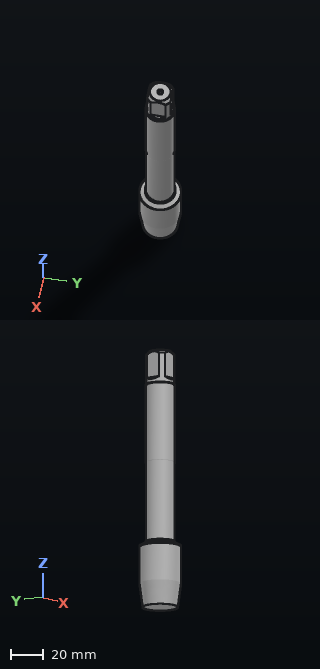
import cadquery as cq
import math

total_length = 160.0
head_diameter = 25.6
tip_diameter = 21.8
neck_diameter = 17.8
shank_diameter = 18.0
drive_diameter = 17.3

taper_length = 14.7
head_length = 37.8
collar_rim_height = 0.5
neck_base_top = 41.1
neck_top = 90.4
shank_step = 0.3
shank_top = 139.0
shank_edge_height = 0.5

flare_diameter = 18.9
flare_height = 1.1

square_width = 14.5
square_flat_bottom = 143.0
end_face_diameter = 12.8
centre_hole_diameter = 2.0
centre_hole_depth = 4.8
countersink_diameter = 3.4
countersink_angle = 60.0


def revolve_profile(points):
    """Revolve a closed (radius, height) outline around the Z axis."""
    return cq.Workplane("XZ").polyline(points).close().revolve(360, (0, 0, 0), (0, 1, 0))


def make_cutting_head():
    """Cylindrical cutting head with a tapered lead at the tip."""
    return revolve_profile([
        (0, 0),
        (tip_diameter / 2, 0),
        (head_diameter / 2, taper_length),
        (head_diameter / 2, head_length),
        (0, head_length),
    ])


def make_turned_shank():
    """Round body of the shank, from the collar to the chamfered end face."""
    collar_top = head_length + collar_rim_height
    end_chamfer = (drive_diameter - end_face_diameter) / 2
    return revolve_profile([
        (0, head_length),
        (head_diameter / 2, head_length),
        (head_diameter / 2, collar_top),
        (flare_diameter / 2, neck_base_top - flare_height),
        (neck_diameter / 2, neck_base_top),
        (neck_diameter / 2, neck_top),
        (shank_diameter / 2, neck_top + shank_step),
        (shank_diameter / 2, shank_top),
        (drive_diameter / 2, shank_top + shank_edge_height),
        (drive_diameter / 2, total_length - end_chamfer),
        (end_face_diameter / 2, total_length),
        (0, total_length),
    ])


def make_flat_cutter():
    """Cutter for the +X drive flat, with a 45 degree run-out at its lower end."""
    flat_x = square_width / 2
    reach = shank_diameter / 2 - flat_x
    return (
        cq.Workplane("XZ")
        .polyline([
            (flat_x, square_flat_bottom),
            (flat_x + reach, square_flat_bottom - reach),
            (flat_x + reach, total_length),
            (flat_x, total_length),
        ])
        .close()
        .extrude(shank_diameter / 2, both=True)
    )


def make_centre_hole():
    """Blind centre hole with a conical mouth in the end face."""
    mouth_radius = countersink_diameter / 2
    hole_radius = centre_hole_diameter / 2
    cone_depth = (mouth_radius - hole_radius) / math.tan(math.radians(countersink_angle / 2))
    return revolve_profile([
        (0, total_length),
        (mouth_radius, total_length),
        (hole_radius, total_length - cone_depth),
        (hole_radius, total_length - centre_hole_depth),
        (0, total_length - centre_hole_depth),
    ])


def make_shank():
    """Shank with its collar, driving square and centre hole."""
    shank = make_turned_shank()
    for angle in (0, 90, 180, 270):
        shank = shank.cut(make_flat_cutter().rotate((0, 0, 0), (0, 0, 1), angle))
    return shank.cut(make_centre_hole())


cutting_head = make_cutting_head()
shank = make_shank()

result = cq.Compound.makeCompound([cutting_head.val(), shank.val()])